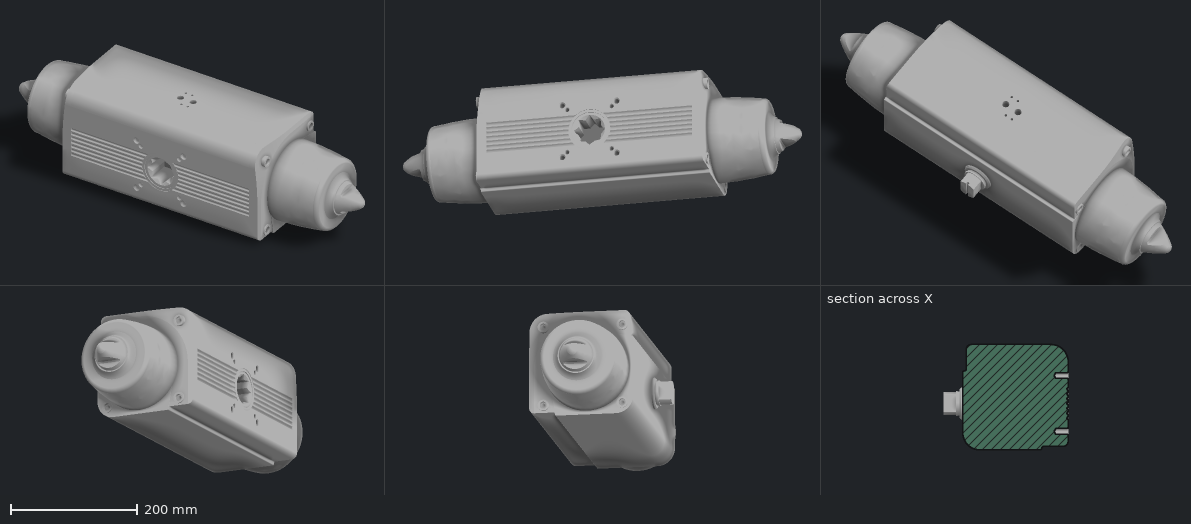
import cadquery as cq
import math

overall_length = 648.2
overall_depth = 198.0
housing_size = 168.0
front_reach = 94.0
front_y = -front_reach
top_z = front_reach
back_y = housing_size - front_reach
bottom_z = -back_y
shaft_end_y = overall_depth - front_reach

large_round = 28.0
small_round = 9.0
step_depth = 5.5
step_start = 51.0
step_slant = 2.0
step_blend = 1.5
pick_margin = 0.5
body_half_length = 167.5

cap_face_x = 185.3
cap_pad_x = 186.1
bolt_boss_x = 187.8
pad_side_end = (35.0, 58.0)
cap_flat_radius = 86.0
cap_fall_reach = 40.0
cap_fall = 8.5
cap_bolt_centre = 7.0
cap_bolt_half_spacing = 63.5
bolt_boss_diameter = 18.0
bolt_bore_diameter = 11.45
bolt_bore_depth = 4.0
bolt_socket_diameter = 6.65
bolt_socket_depth = 0.5

cylinder_radius = 68.0
barrel_middle = (232.0, 65.4)
cylinder_shoulder_x = 266.6
cylinder_shoulder_radius = 60.7
shoulder_middle = (272.4, 58.7)
cylinder_end_x = 274.4
cylinder_end_radius = 53.0
neck_outer_radius = 39.0
neck_flare_middle = (277.6, 33.6)
neck_end_x = 285.0
neck_end_radius = 59.0 / 2
nose_root_radius = 27.5
ogive_middle = (306.5, 17.0)
tip_start_x = 320.5
tip_start_radius = 8.0
tip_dome_middle = (323.2, 4.4)
tip_x = overall_length / 2
blade_start_x = 291.6
blade_start_half = 16.0
blade_root_x = 293.6
blade_root_half = 13.4
blade_tip_half = 11.7

groove_count = 7
groove_pitch = 7.7
groove_mouth = 5.6
groove_floor = 3.6
groove_depth = 2.0
groove_shoulder = 1.0
seat_diameter = 68.0
seat_depth = 0.8
pinion_diameter = 59.0
pinion_depth = 2.0
star_square = 36.0
star_diameter = 50.0
star_depth = 40.0
star_lead_in = 5.0
outer_bolt_circle = 125.0
outer_bolt_hole = 8.38
outer_bolt_mouth = 11.45
inner_bolt_circle = 102.0
inner_bolt_hole = 6.65
inner_bolt_mouth = 8.38
mount_hole_depth = 20.0
drill_point_angle = 118.0

port_diameter = 11.45
port_depth = 20.0
port_spacing = 24.0
port_centre_y = -15.5
port_screw_diameter = 4.13
port_screw_spacing = 32.0
port_screw_depth = 12.0

flange_diameter = 50.0
flange_top_diameter = 46.0
flange_height = 4.5
neck_diameter = 38.0
ring_diameter = 40.0
ring_start_y = 81.5
ring_end_y = 84.0
stem_diameter = 37.0
stem_flat_width = 25.4
stem_slot_width = 4.0
stem_slot_depth = 4.0


def at_x(x):
    """Plane across the cylinder: local x is +Y, local y is +Z."""
    return cq.Workplane("YZ", origin=(x, 0, 0))


def housing_block(start_x, length):
    """Length of the housing section, with its two large rounds and two stepped corners."""
    step_y = back_y - step_depth
    step_z = bottom_z + step_depth
    outline = (
        at_x(start_x)
        .moveTo(front_y, step_z)
        .lineTo(-step_start - step_slant, step_z)
        .lineTo(-step_start, bottom_z)
        .lineTo(back_y, bottom_z)
        .lineTo(back_y, step_start)
        .lineTo(step_y, step_start + step_slant)
        .lineTo(step_y, top_z)
        .lineTo(front_y, top_z)
        .close()
        .extrude(length)
    )

    def corner(y, z):
        return cq.selectors.BoxSelector(
            (start_x - pick_margin, y - pick_margin, z - pick_margin),
            (start_x + length + pick_margin, y + pick_margin, z + pick_margin),
        )

    block = outline.edges("|X").edges(corner(front_y, top_z)).fillet(large_round)
    block = block.edges("|X").edges(corner(back_y, bottom_z)).fillet(large_round)
    block = block.edges("|X").edges(corner(front_y, step_z)).fillet(small_round)
    block = block.edges("|X").edges(corner(step_y, top_z)).fillet(small_round)
    step_corners = (
        (back_y, step_start),
        (step_y, step_start + step_slant),
        (-step_start, bottom_z),
        (-step_start - step_slant, step_z),
    )
    for y, z in step_corners:
        block = block.edges("|X").edges(corner(y, z)).fillet(step_blend)
    return block


def cap_envelope():
    """Flat inside cap_flat_radius, sloping away towards the front and the top."""
    rim_radius = cap_flat_radius + cap_fall_reach
    rim_x = cap_face_x - cap_fall

    def slope_profile(plane, inner, side):
        return (
            cq.Workplane(plane)
            .moveTo(body_half_length, side * inner)
            .lineTo(cap_face_x, side * inner)
            .lineTo(cap_face_x, side * cap_flat_radius)
            .lineTo(rim_x, side * rim_radius)
            .lineTo(body_half_length, side * rim_radius)
            .close()
        )

    front_top = slope_profile("XY", 0, 1).revolve(360, (0, 0), (1, 0))
    lower_half = slope_profile("XY", -back_y, -1).extrude(bottom_z)
    back_half = slope_profile("XZ", bottom_z, 1).extrude(-back_y)
    return front_top.union(lower_half).union(back_half)


def cap_pad():
    """Low raised quarter of the cap face, at the lower back corner."""
    return (
        at_x(body_half_length)
        .moveTo(back_y, bottom_z)
        .lineTo(-step_start, bottom_z)
        .lineTo(-pad_side_end[1], -pad_side_end[0])
        .lineTo(0, 0)
        .lineTo(*pad_side_end)
        .lineTo(back_y, step_start)
        .close()
        .extrude(cap_pad_x - body_half_length)
    )


def end_cap():
    """+X cap: sloped flange face, raised pad and four bolt bosses."""
    block = housing_block(body_half_length, bolt_boss_x - body_half_length)
    cap = block.intersect(cap_envelope().union(cap_pad()))
    low = -cap_bolt_centre - cap_bolt_half_spacing
    high = -cap_bolt_centre + cap_bolt_half_spacing
    bolt_points = [(y, z) for y in (low, high) for z in (-low, -high)]
    bosses = (
        at_x(body_half_length)
        .pushPoints(bolt_points)
        .circle(bolt_boss_diameter / 2)
        .extrude(bolt_boss_x - body_half_length)
    )
    bores = (
        at_x(bolt_boss_x)
        .pushPoints(bolt_points)
        .circle(bolt_bore_diameter / 2)
        .extrude(-bolt_bore_depth)
    )
    cap = cap.union(bosses).cut(bores)
    socket = drilled_hole(bolt_socket_diameter, bolt_socket_depth, bolt_socket_diameter)
    socket = socket.rotate((0, 0, 0), (0, 1, 0), 90)
    for y, z in bolt_points:
        cap = cap.cut(socket.translate((bolt_boss_x - bolt_bore_depth, y, z)))
    return cap


def spring_cylinder():
    """Tapered barrel with a rounded shoulder and a flared neck."""
    return (
        cq.Workplane("XY")
        .moveTo(body_half_length, 0)
        .lineTo(body_half_length, cylinder_radius)
        .lineTo(cap_face_x, cylinder_radius)
        .threePointArc(barrel_middle, (cylinder_shoulder_x, cylinder_shoulder_radius))
        .threePointArc(shoulder_middle, (cylinder_end_x, cylinder_end_radius))
        .lineTo(cylinder_end_x, neck_outer_radius)
        .threePointArc(neck_flare_middle, (neck_end_x, neck_end_radius))
        .lineTo(neck_end_x, 0)
        .close()
        .revolve(360, (0, 0), (1, 0))
    )


def nose():
    """Pointed round nose, flattened above and below into a slightly tapered blade."""
    ogive = (
        cq.Workplane("XY")
        .moveTo(neck_end_x, 0)
        .lineTo(neck_end_x, nose_root_radius)
        .threePointArc(ogive_middle, (tip_start_x, tip_start_radius))
        .threePointArc(tip_dome_middle, (tip_x, 0))
        .close()
        .revolve(360, (0, 0), (1, 0))
    )
    blade = (
        cq.Workplane("XZ")
        .moveTo(neck_end_x, -nose_root_radius)
        .lineTo(blade_start_x, -nose_root_radius)
        .lineTo(blade_start_x, -blade_start_half)
        .lineTo(blade_root_x, -blade_root_half)
        .lineTo(tip_x, -blade_tip_half)
        .lineTo(tip_x, blade_tip_half)
        .lineTo(blade_root_x, blade_root_half)
        .lineTo(blade_start_x, blade_start_half)
        .lineTo(blade_start_x, nose_root_radius)
        .lineTo(neck_end_x, nose_root_radius)
        .close()
        .extrude(nose_root_radius, both=True)
    )
    return ogive.intersect(blade)


def into_front(depth):
    """Plane below the front face, extruding inwards: local x is +X, local y is -Z."""
    return cq.Workplane(cq.Plane((0, front_y + depth, 0), (1, 0, 0), (0, 1, 0)))


def cut_front_grooves(body):
    """Long round-bottomed grooves on the front face, interrupted around the pinion seat."""
    half_mouth = groove_mouth / 2
    half_floor = groove_floor / 2
    floor_y = front_y + groove_depth
    shoulder_y = front_y + groove_shoulder
    seat_land = into_front(0).circle(seat_diameter / 2).extrude(groove_depth)
    for index in range(groove_count):
        z = (index - (groove_count - 1) / 2) * groove_pitch
        groove = (
            at_x(-body_half_length)
            .moveTo(front_y, z - half_mouth)
            .lineTo(shoulder_y, z - half_floor)
            .threePointArc((floor_y, z), (shoulder_y, z + half_floor))
            .lineTo(front_y, z + half_mouth)
            .close()
            .extrude(2 * body_half_length)
        )
        body = body.cut(groove.cut(seat_land))
    return body


def cut_pinion_bore(body):
    """Shallow seat, recessed pinion end and an eight-point star socket."""
    body = body.cut(into_front(0).circle(seat_diameter / 2).extrude(seat_depth))
    body = body.cut(into_front(0).circle(pinion_diameter / 2).extrude(pinion_depth))
    square = into_front(pinion_depth).rect(star_square, star_square).extrude(star_depth)
    turned = square.rotate((0, 0, 0), (0, 1, 0), 45)
    round_limit = into_front(pinion_depth).circle(star_diameter / 2).extrude(star_depth)
    lead_in = (
        into_front(pinion_depth)
        .circle(star_diameter / 2)
        .workplane(offset=star_lead_in)
        .circle(star_square / 2)
        .loft()
    )
    return body.cut(square.union(turned).intersect(round_limit)).cut(lead_in)


def drilled_hole(diameter, depth, mouth_diameter):
    """Drill-pointed hole below the XY plane; a wider mouth gives a 45 degree countersink."""
    radius = diameter / 2
    mouth_radius = mouth_diameter / 2
    point_length = radius / math.tan(math.radians(drill_point_angle / 2))
    profile = cq.Workplane("XZ").lineTo(mouth_radius, 0)
    if mouth_radius > radius:
        profile = profile.lineTo(radius, radius - mouth_radius)
    profile = profile.lineTo(radius, -depth).lineTo(0, -depth - point_length)
    return profile.close().revolve(360, (0, 0), (0, 1))


def cut_mount_holes(body):
    """Two square patterns of countersunk mounting holes on the front face."""
    patterns = (
        (outer_bolt_circle, outer_bolt_hole, outer_bolt_mouth),
        (inner_bolt_circle, inner_bolt_hole, inner_bolt_mouth),
    )
    for bolt_circle, diameter, mouth in patterns:
        offset = bolt_circle / 2 * math.sqrt(0.5)
        hole = drilled_hole(diameter, mount_hole_depth, mouth)
        hole = hole.rotate((0, 0, 0), (1, 0, 0), 90)
        for x in (-offset, offset):
            for z in (-offset, offset):
                body = body.cut(hole.translate((x, front_y, z)))
    return body


def cut_air_ports(body):
    """Two air ports and four staggered screw holes on the top face."""
    half_port = port_spacing / 2
    half_screw = port_screw_spacing / 2
    port = drilled_hole(port_diameter, port_depth, port_diameter)
    screw = drilled_hole(port_screw_diameter, port_screw_depth, port_screw_diameter)
    for x in (-half_port, half_port):
        body = body.cut(port.translate((x, port_centre_y, top_z)))
    screw_points = (
        (-half_port, half_screw),
        (0, half_screw),
        (0, -half_screw),
        (half_port, -half_screw),
    )
    for x, y in screw_points:
        body = body.cut(screw.translate((x, port_centre_y + y, top_z)))
    return body


def output_shaft():
    """Flange, neck, retaining ring and a slotted stem with two flats."""

    def disc(diameter, start_y, end_y):
        return cq.Workplane("XZ", origin=(0, start_y, 0)).circle(diameter / 2).extrude(start_y - end_y)

    flange_end_y = back_y + flange_height
    flange = disc(flange_diameter, back_y, flange_end_y)
    flange = flange.faces(">Y").chamfer(flange_height / 2, (flange_diameter - flange_top_diameter) / 2)
    stem_length = shaft_end_y - ring_end_y
    flats = cq.Workplane("XY").box(stem_flat_width, stem_length, stem_diameter)
    flats = flats.translate((0, ring_end_y + stem_length / 2, 0))
    slot = cq.Workplane("XY").box(stem_slot_width, 2 * stem_slot_depth, stem_diameter)
    stem = disc(stem_diameter, ring_end_y, shaft_end_y).intersect(flats)
    stem = stem.cut(slot.translate((0, shaft_end_y, 0)))
    shaft_neck = disc(neck_diameter, flange_end_y, ring_end_y)
    ring = disc(ring_diameter, ring_start_y, ring_end_y)
    return flange.union(shaft_neck).union(ring).union(stem)


def centre_body():
    body = housing_block(-body_half_length, 2 * body_half_length)
    body = cut_front_grooves(body)
    body = cut_pinion_bore(body)
    body = cut_mount_holes(body)
    body = cut_air_ports(body)
    return body.union(output_shaft())


end_assembly = end_cap().union(spring_cylinder()).union(nose())

result = centre_body()
result = result.union(end_assembly, clean=False)
result = result.union(end_assembly.mirror("YZ"), clean=False)